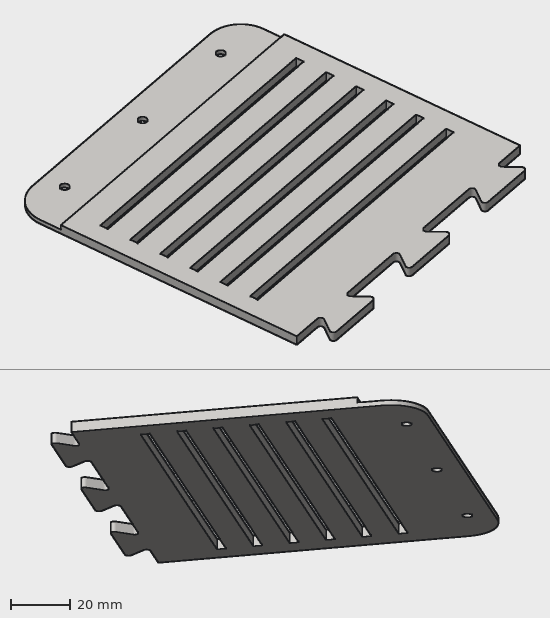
import cadquery as cq

length = 130.5
width = 127.0
thickness = 3.8
corner_radius = 12.9

flange_length = 21.7
flange_thickness = 1.8
hole_diameter = 3.4
hole_inset = 9.0
hole_pitch = 44.4
hole_count = 3

slot_count = 6
slot_width = 3.1
slot_pitch = 12.7
slot_end_margin = 7.8
first_slot_edge = 32.5

tab_count = 3
tab_pitch = 43.0
tab_length = 9.3
tab_root_width = 12.3
tab_tip_width = 25.8
tab_fillet = 1.3

body_length = length - tab_length


def centered_positions(count, pitch):
    """Evenly spaced coordinates, symmetric about zero."""
    return [(i - (count - 1) / 2) * pitch for i in range(count)]


def make_body():
    """Rectangular plate with its two -X corners rounded."""
    body = cq.Workplane("XY").box(body_length, width, thickness, centered=(False, True, False))
    return body.edges("|Z and <X").fillet(corner_radius)


def make_tab(y_center):
    """Dovetail that widens away from the plate edge."""
    root_half = tab_root_width / 2
    tip_half = tab_tip_width / 2
    return (
        cq.Workplane("XY", origin=(body_length, y_center, 0))
        .moveTo(0, -root_half)
        .lineTo(tab_length, -tip_half)
        .lineTo(tab_length, tip_half)
        .lineTo(0, root_half)
        .close()
        .extrude(thickness)
    )


def add_tabs(plate):
    """Join the tabs and round their root and tip corners."""
    tab_centers = centered_positions(tab_count, tab_pitch)
    for y in tab_centers:
        plate = plate.union(make_tab(y))
    corners = []
    for y in tab_centers:
        for side in (-1, 1):
            corners.append((body_length, y + side * tab_root_width / 2, thickness / 2))
            corners.append((length, y + side * tab_tip_width / 2, thickness / 2))
    corner_edges = plate.edges("|Z").edges(cq.selectors.NearestToPointSelector(corners[0]))
    for corner in corners[1:]:
        corner_edges = corner_edges.add(
            plate.edges("|Z").edges(cq.selectors.NearestToPointSelector(corner))
        )
    return corner_edges.fillet(tab_fillet)


def make_flange_step():
    """Material removed above the flange."""
    return (
        cq.Workplane("XY", origin=(0, 0, flange_thickness))
        .box(flange_length, width, thickness - flange_thickness, centered=(False, True, False))
    )


def make_holes():
    """Mounting holes through the flange."""
    return (
        cq.Workplane("XY")
        .pushPoints([(hole_inset, y) for y in centered_positions(hole_count, hole_pitch)])
        .circle(hole_diameter / 2)
        .extrude(thickness)
    )


def make_slots():
    """Row of long through slots with square ends."""
    slot_length = width - 2 * slot_end_margin
    first_center = first_slot_edge + slot_width / 2
    return (
        cq.Workplane("XY")
        .pushPoints([(first_center + i * slot_pitch, 0) for i in range(slot_count)])
        .rect(slot_width, slot_length)
        .extrude(thickness)
    )


plate = add_tabs(make_body())
result = plate.cut(make_flange_step()).cut(make_holes()).cut(make_slots())